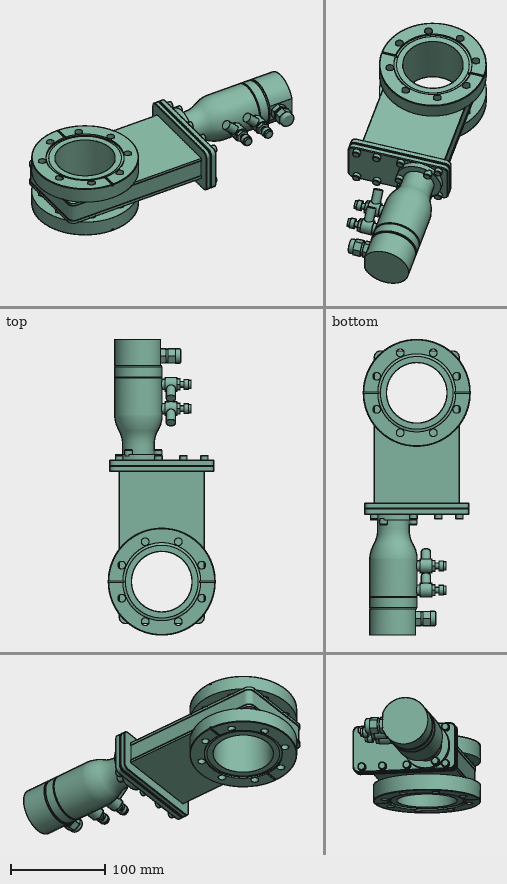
import cadquery as cq
import math


OVERALL_LENGTH = 313.3

FLANGE_RADIUS = 56.7
FACE_TO_FACE = 61.0
FLANGE_FACE_Z = FACE_TO_FACE / 2
FLANGE_CHAMFER = 0.5
BORE_RADIUS = 32.0
RECESS_RADIUS = 41.5
RECESS_DEPTH = 2.0
KNIFE_RADIUS = 38.5
KNIFE_DEPTH = 1.0
FLANGE_HOLES = 8
FLANGE_HOLE_RADIUS = 4.0
FLANGE_BOLT_CIRCLE = 45.7
LEAK_GROOVE_WIDTH = 2.0

HOUSING_WIDTH = 90.2
HOUSING_THICKNESS = 26.3
CORE_THICKNESS = 19.7
CORE_SIDE_INSET = 0.5
CORE_END_INSET = 1.0
HOUSING_END_Y = -44.5
HOUSING_CORNER = 7.0

BONNET_START_Y = 116.5
BONNET_TOP_Y = 129.0
BONNET_WIDTH = 110.5
BONNET_HEIGHT = 50.0
BONNET_CORNER = 6.3
BONNET_TOP_CHAMFER = 1.0
BONNET_BOTTOM_CHAMFER = 0.5
BONNET_GAP_Y = 122.5
BONNET_GAP_WIDTH = 1.5
BONNET_GAP_DEPTH = 1.0

SCREW_RADIUS = 4.0
SCREW_CHAMFER = 0.5
BONNET_SCREW_HEIGHT = 4.7
BONNET_SCREW_X = (-45.0, -3.5, 23.0, 45.0)
BONNET_SCREW_Z = 19.7
DRIVE_SCREW_HEIGHT = 5.0
DRIVE_SCREW_CIRCLE = 21.0
DRIVE_SCREWS = 3

DRIVE_X = -24.8
BASE_RADIUS = 24.5
BASE_TOP_Y = 134.7
NECK_RADIUS = 17.0
NECK_END_Y = 145.7
SHOULDER_Y = 176.0
DRIVE_DIAMETER = 50.5
DRIVE_RADIUS = DRIVE_DIAMETER / 2
RING_GROOVE_Y = 215.5
RING_GROOVE_WIDTH = 1.3
RING_GROOVE_DEPTH = 0.3
CAP_GROOVE_Y = 227.2
CAP_GROOVE_WIDTH = 2.0
CAP_GROOVE_DEPTH = 0.5
DRIVE_END_Y = OVERALL_LENGTH - FLANGE_RADIUS
CAP_FLAT_X = -1.3

GLAND_Y = 239.0
GLAND_HEX = 15.5
GLAND_NUT_END_X = 4.5
GLAND_COLLAR_END_X = 6.5
GLAND_COLLAR_RADIUS = 7.2
GLAND_HEX_END_X = 14.7
GLAND_END_X = 20.5
GLAND_END_RADIUS = 7.8
GLAND_END_ROUND = 2.2
GLAND_NUT_CHAMFER_RADIUS = 8.0

FITTING_Y = (183.3, 209.0)
SPIGOT_RADIUS = 5.5
TEE_START_X = 3.5
TEE_END_X = 16.0
TEE_RADIUS = 7.5
FITTING_HEX = 12.0
FITTING_HEX_END_X = 19.5
STEM_RADIUS = 3.0
STEM_END_X = 23.5
COLLAR_RADIUS = 5.3
COLLAR_END_X = 28.5
TIP_RADIUS = 4.5
TIP_END_X = 31.0
BRANCH_RADIUS = 5.0
BRANCH_LENGTH = 21.0
BRANCH_TILT = 45

OVERLAP = 1.5


def plane_along_y(x, y, z):
    """Work plane facing +Y, with local X along X and local Y along -Z."""
    return cq.Workplane(cq.Plane(origin=(x, y, z), xDir=(1, 0, 0), normal=(0, 1, 0)))


def plane_along_x(x, y):
    """Work plane facing +X at Z = 0, with local X along Y and local Y along Z."""
    return cq.Workplane(cq.Plane(origin=(x, y, 0), xDir=(0, 1, 0), normal=(1, 0, 0)))


def rod_x(start_x, end_x, y, radius):
    return plane_along_x(start_x, y).circle(radius).extrude(end_x - start_x)


def hex_x(start_x, end_x, y, across_flats):
    """Hexagonal bar along X with a corner pointing to +Z."""
    across_corners = across_flats / math.cos(math.radians(30))
    bar = plane_along_x(start_x, y).polygon(6, across_corners).extrude(end_x - start_x)
    return bar.rotate((0, y, 0), (1, y, 0), 30)


def make_flange():
    """Upper flange with its sealing face, bolt holes and leak-check grooves."""
    base_z = HOUSING_THICKNESS / 2
    thickness = FLANGE_FACE_Z - base_z
    flange = cq.Workplane().workplane(offset=base_z).circle(FLANGE_RADIUS).extrude(thickness)
    flange = flange.faces(">Z").chamfer(FLANGE_CHAMFER)

    recess_outline = [
        (0, FLANGE_FACE_Z),
        (RECESS_RADIUS, FLANGE_FACE_Z),
        (RECESS_RADIUS, FLANGE_FACE_Z - RECESS_DEPTH),
        (KNIFE_RADIUS, FLANGE_FACE_Z - KNIFE_DEPTH),
        (0, FLANGE_FACE_Z - KNIFE_DEPTH),
    ]
    recess = cq.Workplane("XZ").polyline(recess_outline).close().revolve(360, (0, 0), (0, 1))
    flange = flange.cut(recess)

    holes = (
        cq.Workplane()
        .workplane(offset=base_z)
        .polarArray(FLANGE_BOLT_CIRCLE, 180 / FLANGE_HOLES, 360, FLANGE_HOLES)
        .circle(FLANGE_HOLE_RADIUS)
        .extrude(thickness)
    )
    flange = flange.cut(holes)

    groove_length = FLANGE_RADIUS - RECESS_RADIUS + OVERLAP
    groove_middle = FLANGE_RADIUS - groove_length / 2
    for side in (-1, 1):
        groove = cq.Workplane().box(groove_length, LEAK_GROOVE_WIDTH, 2 * RECESS_DEPTH)
        flange = flange.cut(groove.translate((side * groove_middle, 0, FLANGE_FACE_Z)))
    return flange


def housing_slab(width, end_y, thickness):
    """Slab from its rounded free end at end_y to the bonnet plates."""
    length = BONNET_START_Y - end_y
    slab = cq.Workplane().box(width, length, thickness).edges("|Z and <Y").fillet(HOUSING_CORNER)
    return slab.translate((0, end_y + length / 2, 0))


def make_housing():
    core_width = HOUSING_WIDTH - 2 * CORE_SIDE_INSET
    housing = housing_slab(core_width, HOUSING_END_Y + CORE_END_INSET, CORE_THICKNESS)
    cheek_thickness = (HOUSING_THICKNESS - CORE_THICKNESS) / 2
    for side in (-1, 1):
        cheek = housing_slab(HOUSING_WIDTH, HOUSING_END_Y, cheek_thickness)
        housing = housing.union(cheek.translate((0, 0, side * (CORE_THICKNESS + cheek_thickness) / 2)))
    return housing


def bonnet_block(start_y, depth, inset):
    width = BONNET_WIDTH - 2 * inset
    height = BONNET_HEIGHT - 2 * inset
    block = plane_along_y(0, start_y, 0).rect(width, height).extrude(depth)
    return block.edges("|Y").fillet(BONNET_CORNER - inset)


def make_bonnet():
    bonnet = bonnet_block(BONNET_START_Y, BONNET_TOP_Y - BONNET_START_Y, 0)
    bonnet = bonnet.faces(">Y").chamfer(BONNET_TOP_CHAMFER)
    bonnet = bonnet.faces("<Y").chamfer(BONNET_BOTTOM_CHAMFER)
    gap_start = BONNET_GAP_Y - BONNET_GAP_WIDTH / 2
    gap = bonnet_block(gap_start, BONNET_GAP_WIDTH, 0)
    gap = gap.cut(bonnet_block(gap_start, BONNET_GAP_WIDTH, BONNET_GAP_DEPTH))
    return bonnet.cut(gap)


def screw_head(x, seat_y, z, height):
    head = plane_along_y(x, seat_y - OVERLAP, z).circle(SCREW_RADIUS).extrude(height + OVERLAP)
    return head.faces(">Y").chamfer(SCREW_CHAMFER)


def make_drive():
    """Turned drive body with a flat on the side of its cap."""
    middle_radius = (NECK_RADIUS + DRIVE_RADIUS) / 2
    middle_y = (NECK_END_Y + SHOULDER_Y) / 2
    drive = (
        cq.Workplane()
        .moveTo(0, BONNET_TOP_Y - OVERLAP)
        .lineTo(BASE_RADIUS, BONNET_TOP_Y - OVERLAP)
        .lineTo(BASE_RADIUS, BASE_TOP_Y)
        .lineTo(NECK_RADIUS, BASE_TOP_Y)
        .lineTo(NECK_RADIUS, NECK_END_Y)
        .tangentArcPoint((middle_radius, middle_y), relative=False)
        .tangentArcPoint((DRIVE_RADIUS, SHOULDER_Y), relative=False)
        .lineTo(DRIVE_RADIUS, DRIVE_END_Y)
        .lineTo(0, DRIVE_END_Y)
        .close()
        .revolve(360, (0, 0), (0, 1))
        .translate((DRIVE_X, 0, 0))
    )
    grooves = (
        (RING_GROOVE_Y, RING_GROOVE_WIDTH, RING_GROOVE_DEPTH),
        (CAP_GROOVE_Y, CAP_GROOVE_WIDTH, CAP_GROOVE_DEPTH),
    )
    for start_y, width, depth in grooves:
        plane = plane_along_y(DRIVE_X, start_y, 0)
        drive = drive.cut(plane.circle(DRIVE_RADIUS).circle(DRIVE_RADIUS - depth).extrude(width))

    cap_start_y = CAP_GROOVE_Y + CAP_GROOVE_WIDTH
    cap_length = DRIVE_END_Y - cap_start_y
    beside_flat = cq.Workplane().box(DRIVE_RADIUS, cap_length, 2 * DRIVE_RADIUS)
    flat_shift = (CAP_FLAT_X + DRIVE_RADIUS / 2, cap_start_y + cap_length / 2, 0)
    return drive.cut(beside_flat.translate(flat_shift))


def make_gland():
    nut = hex_x(CAP_FLAT_X - OVERLAP, GLAND_NUT_END_X, GLAND_Y, GLAND_HEX)
    nut_corner_radius = GLAND_HEX / math.sqrt(3)
    nut_rounding = rod_x(CAP_FLAT_X - OVERLAP, GLAND_NUT_END_X, GLAND_Y, nut_corner_radius)
    nut_rounding = nut_rounding.faces(">X").chamfer(nut_corner_radius - GLAND_NUT_CHAMFER_RADIUS)
    nut = nut.intersect(nut_rounding)
    gland = nut.union(rod_x(GLAND_NUT_END_X, GLAND_COLLAR_END_X, GLAND_Y, GLAND_COLLAR_RADIUS))
    gland = gland.union(hex_x(GLAND_COLLAR_END_X, GLAND_HEX_END_X, GLAND_Y, GLAND_HEX))
    end = rod_x(GLAND_HEX_END_X, GLAND_END_X, GLAND_Y, GLAND_END_RADIUS)
    return gland.union(end.faces(">X").edges().fillet(GLAND_END_ROUND))


def make_fitting(y):
    """Tee fitting along X with a branch leaning towards -Y and +Z."""
    fitting = rod_x(-OVERLAP, TEE_START_X, y, SPIGOT_RADIUS)
    fitting = fitting.union(rod_x(TEE_START_X, TEE_END_X, y, TEE_RADIUS))
    fitting = fitting.union(hex_x(TEE_END_X, FITTING_HEX_END_X, y, FITTING_HEX))
    fitting = fitting.union(rod_x(FITTING_HEX_END_X, STEM_END_X, y, STEM_RADIUS))
    fitting = fitting.union(rod_x(STEM_END_X, COLLAR_END_X, y, COLLAR_RADIUS))
    fitting = fitting.union(rod_x(COLLAR_END_X, TIP_END_X, y, TIP_RADIUS))
    branch = cq.Workplane().circle(BRANCH_RADIUS).extrude(BRANCH_LENGTH)
    branch = branch.rotate((0, 0, 0), (1, 0, 0), BRANCH_TILT)
    return fitting.union(branch.translate(((TEE_START_X + TEE_END_X) / 2, y, 0)))


flange = make_flange()
result = make_housing().union(flange).union(flange.mirror("XY"))
bore = cq.Workplane().workplane(offset=-FLANGE_FACE_Z).circle(BORE_RADIUS).extrude(FACE_TO_FACE)
result = result.cut(bore)

result = result.union(make_bonnet())
for screw_x in BONNET_SCREW_X:
    for screw_z in (-BONNET_SCREW_Z, BONNET_SCREW_Z):
        result = result.union(screw_head(screw_x, BONNET_TOP_Y, screw_z, BONNET_SCREW_HEIGHT))

result = result.union(make_drive())
for index in range(DRIVE_SCREWS):
    angle = math.radians(index * 360 / DRIVE_SCREWS)
    screw_x = DRIVE_X + DRIVE_SCREW_CIRCLE * math.cos(angle)
    screw_z = DRIVE_SCREW_CIRCLE * math.sin(angle)
    result = result.union(screw_head(screw_x, BASE_TOP_Y, screw_z, DRIVE_SCREW_HEIGHT))
result = result.union(make_gland())
for fitting_y in FITTING_Y:
    result = result.union(make_fitting(fitting_y))